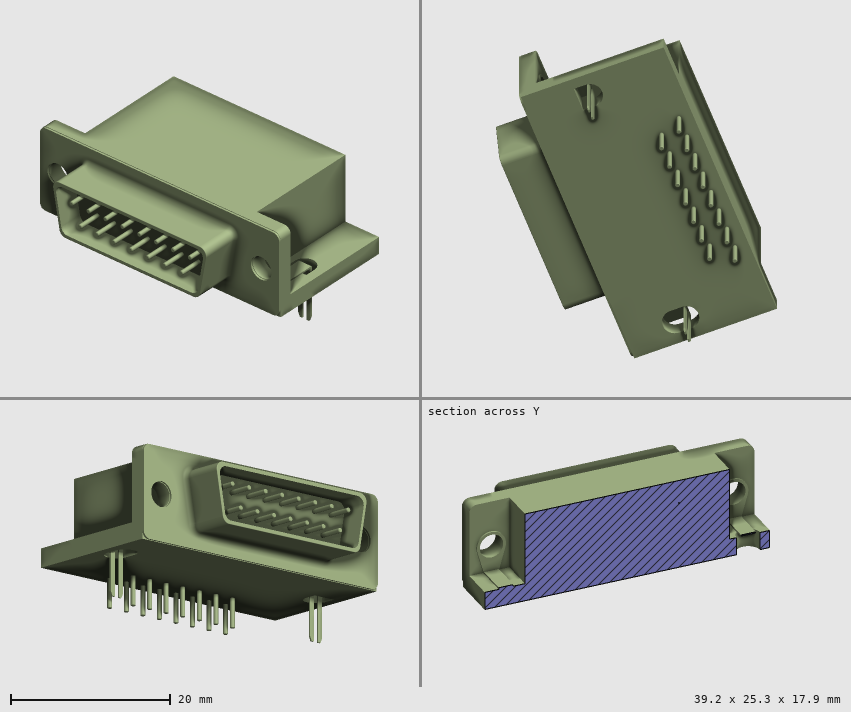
import cadquery as cq
import math


width = 39.2
height = 12.45
mid_z = height / 2
body_rear = 19.45
flange_depth = 2.25
corner_radius = 1.0
face_plate_depth = 0.27
face_plate_inset = 0.08
block_width = 28.15
shelf_height = 2.5

hole_spacing = 33.32
hole_diameter = 3.2
face_plate_hole_diameter = 3.37

shell_length = 5.85
shell_width = 25.1
shell_height = 7.9
shell_wall = 0.5
shell_radius = 1.05
cavity_radius = 1.05
cavity_floor = 2.2
shell_slant = 10.0
shell_root_fillet = 0.63
shell_rim_fillet = 0.08

pin_diameter = 0.63
pin_chamfer = 0.08
upper_count = 8
lower_count = 7
upper_row_span = 19.35
pin_pitch = upper_row_span / (upper_count - 1)
row_spacing = 2.85
contact_reach = 5.7
tail_drop = 3.9
rear_tail_y = 17.65

sheet = 0.25
eyelet_diameter = 4.0
tongue_width = 2.05
tongue_end = 8.62
bend_radius = 0.1
leg_drop = 5.45
leg_gap = 0.7
leg_taper_width = 0.27
leg_taper_height = 0.63
slot_width = 3.2
slot_front_center = 6.85
slot_rear_center = 8.43


def box(x_range, y_range, z_range):
    """Box between pairs of limits."""
    (x0, x1), (y0, y1), (z0, z1) = x_range, y_range, z_range
    return cq.Workplane("XY").box(x1 - x0, y1 - y0, z1 - z0, centered=False).translate((x0, y0, z0))


def y_cylinder(diameter, x, z, y_start, y_end):
    """Cylinder along Y."""
    cylinder = cq.Workplane("XZ").circle(diameter / 2).extrude(y_start - y_end)
    return cylinder.translate((x, y_start, z))


def make_body():
    half = width / 2
    flange = box((-half, half), (face_plate_depth, flange_depth), (0, height))
    flange = flange.edges("|Y and >Z").fillet(corner_radius)
    face_plate = box(
        (-half, half),
        (0, face_plate_depth),
        (face_plate_inset, height - face_plate_inset),
    )
    face_plate = face_plate.edges("|Y").fillet(corner_radius)
    shelf = box((-half, half), (face_plate_depth, body_rear), (0, shelf_height))
    block = box((-block_width / 2, block_width / 2), (face_plate_depth, body_rear), (0, height))
    return flange.union(face_plate).union(shelf).union(block)


def d_prism(prism_width, prism_height, radius, depth):
    """D-shaped prism of the given depth along Y with its back at y = 0."""
    slant = math.radians(shell_slant)
    half_height = prism_height / 2
    center_z = half_height - radius
    side_x = prism_width / 2 - radius + radius / math.cos(slant)
    top_x = side_x + radius * math.tan(slant)
    bottom_x = side_x - (half_height + center_z) * math.tan(slant)
    outline = [
        (-top_x, half_height),
        (top_x, half_height),
        (bottom_x, -half_height),
        (-bottom_x, -half_height),
    ]
    prism = cq.Workplane("XZ").polyline(outline).close().extrude(depth)
    return prism.edges("|Y").fillet(radius).translate((0, 0, mid_z))


def add_shell(body):
    shell = d_prism(shell_width, shell_height, shell_radius, shell_length)
    shell = shell.faces("<Y").edges().fillet(shell_rim_fillet)
    body = body.union(shell)
    margin = 0.05
    root = cq.selectors.BoxSelector(
        (-shell_width / 2 - margin, -margin, mid_z - shell_height / 2 - margin),
        (shell_width / 2 + margin, margin, mid_z + shell_height / 2 + margin),
    )
    body = body.edges(root).fillet(shell_root_fillet)
    cavity = d_prism(
        shell_width - 2 * shell_wall,
        shell_height - 2 * shell_wall,
        cavity_radius,
        shell_length - cavity_floor,
    )
    return body.cut(cavity.translate((0, -cavity_floor, 0)))


def make_contact(x, z, tail_y):
    """Straight mating pin at the front and solder tail below the body."""
    mating = y_cylinder(pin_diameter, x, z, -contact_reach, flange_depth)
    mating = mating.faces("<Y").chamfer(pin_chamfer)
    tail = cq.Workplane("XY").circle(pin_diameter / 2).extrude(tail_drop + shelf_height)
    tail = tail.faces("<Z").chamfer(pin_chamfer).translate((x, tail_y, -tail_drop))
    return mating.union(tail)


def make_contacts():
    contacts = cq.Workplane("XY")
    rows = [
        (upper_count, mid_z + row_spacing / 2, rear_tail_y),
        (lower_count, mid_z - row_spacing / 2, rear_tail_y - row_spacing),
    ]
    for count, z, tail_y in rows:
        for index in range(count):
            x = (index - (count - 1) / 2) * pin_pitch
            contacts = contacts.union(make_contact(x, z, tail_y))
    return contacts


def make_slot(x):
    """Slot through the shelf, rounded at both ends."""
    length = slot_rear_center - slot_front_center + slot_width
    center_y = (slot_rear_center + slot_front_center) / 2
    slot = cq.Workplane("XY").slot2D(length, slot_width, 90).extrude(shelf_height)
    return slot.translate((x, center_y, 0))


def make_bracket(x):
    """Sheet bracket: eyelet behind the flange, tongue on the shelf, two legs down."""
    half = tongue_width / 2
    tongue_top = shelf_height + sheet
    eyelet_rear = flange_depth + sheet
    x_range = (x - half, x + half)
    eyelet = y_cylinder(eyelet_diameter, x, mid_z, flange_depth, eyelet_rear)
    radius = eyelet_diameter / 2
    drop = mid_z - shelf_height
    tangent_angle = math.acos(radius / math.hypot(half, drop)) - math.atan2(drop, half)
    tangent_x = radius * math.cos(tangent_angle)
    tangent_z = radius * math.sin(tangent_angle)
    strap_outline = [
        (-tangent_x, tangent_z),
        (tangent_x, tangent_z),
        (half, -drop),
        (-half, -drop),
    ]
    strap = cq.Workplane("XZ").polyline(strap_outline).close().extrude(sheet)
    strap = strap.translate((x, eyelet_rear, mid_z))
    tongue = box(x_range, (flange_depth, tongue_end), (shelf_height, tongue_top))
    legs = box(x_range, (tongue_end - sheet, tongue_end), (-leg_drop, tongue_top))
    legs = legs.edges("|Y and <Z").chamfer(leg_taper_height, leg_taper_width)
    folded = tongue.union(legs).edges("|X and >Y and >Z").fillet(bend_radius)
    gap = box(
        (x - leg_gap / 2, x + leg_gap / 2),
        (tongue_end - sheet, tongue_end),
        (-leg_drop, shelf_height),
    )
    return eyelet.union(strap).union(folded.cut(gap))


left_x = -hole_spacing / 2
right_x = hole_spacing / 2

square_front = box((0, width), (slot_front_center, body_rear), (0, shelf_height))

result = add_shell(make_body())
result = result.cut(make_slot(left_x)).cut(make_slot(right_x).intersect(square_front))
for bracket_x in (left_x, right_x):
    result = result.union(make_bracket(bracket_x))
    result = result.cut(y_cylinder(hole_diameter, bracket_x, mid_z, 0, flange_depth + sheet))
    result = result.cut(y_cylinder(face_plate_hole_diameter, bracket_x, mid_z, 0, face_plate_depth))
result = result.union(make_contacts())